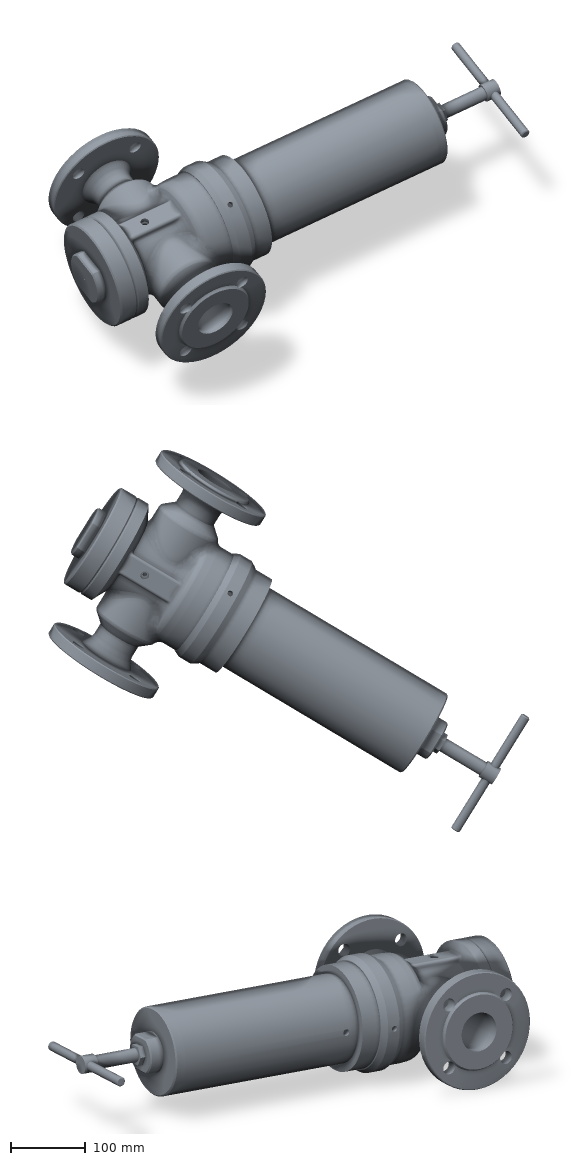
import cadquery as cq
import math


body_radius = 75.0
bowl_radius = 73.5
neck_radius = 54.0
body_top = 73.5
machined_bottom = 51.0
bowl_corner = 35.5
bowl_slope = 30
bowl_round = 9.0
bowl_blend = 19.5
base_top = -59.0
base_cone_top = -48.0
joint_y = -76.0
joint_chamfer = 2.0

face_x = 150.0
raised_height = 4.0
raised_radius = 55.0
raised_chamfer = 2.5
flange_diameter = 165.0
flange_radius = flange_diameter / 2
flange_thickness = 16.0
flange_chamfer = 1.0
bolt_circle_radius = 62.5
bolt_hole = 18.0
bolt_count = 4
bolt_start_angle = 45
bore = 54.0
pipe_radius = 30.0
pipe_root_radius = 38.0
flare_radius = 35.0
flare_start_x = 125.5
flare_end_x = 112.0
pipe_start_x = 97.0
barrel_radius = 46.0
barrel_end_x = 83.0
barrel_round = 6.5
barrel_blend = 11.5
flat_limit = 0.3

pad_width = 32.0
pad_height = 61.0
pad_top = 39.0
pad_bottom = -61.5
pad_round = 4.0
pad_blend = 4.0
port_y = -19.5
port_hole = 6.0
port_counterbore = 11.5
port_counterbore_depth = 6.5

cover_bottom = -102.0
boss_radius = 36.0
boss_flats = 61.0
boss_height = 12.0
boss_chamfer = 2.0
center_mark = 2.5

ring_radius = 80.0
ring_top = 108.5
ring_top_radius = 75.0
ring_rim_bottom = 82.0
ring_rim_top = 100.0
ring_bottom_radius = 76.0
screw_hole = 8.0
screw_hole_depth = 6.5
screw_hole_count = 3
screw_y = 90.5

collar_radius = 73.0
collar_top = 135.5
tube_radius = 61.5
lip_height = 3.0
tube_top = 405.0
cap_top = 419.0
cap_chamfer = 2.0
vent_hole = 9.0
vent_depth = 6.5
vent_y = 154.5

overall_length = 646
gland_radius = 28.5
gland_flats = 49.0
gland_top = 439.0
gland_foot = 2.0
gland_chamfer = 2.0
locknut_width = 26.0
locknut_height = 8.0
spindle_radius = 10.0
head_radius = 12.0
head_length = 20.0
spindle_top = cover_bottom - boss_height + overall_length
bar_y = 522.5
bar_diameter = 13.0
bar_length = 182.0
bar_chamfer = 1.0


def disc(radius, bottom, top):
    """Solid cylinder on the spindle axis between two heights."""
    return cq.Workplane("XZ", origin=(0, bottom, 0)).circle(radius).extrude(bottom - top)


def turned(points):
    """Solid of revolution about the spindle axis from (radius, height) points."""
    return cq.Workplane("XY").polyline(points).close().revolve(360, (0, 0, 0), (0, 1, 0))


def cross_rod(plane, diameter, length, y):
    """Rod of the given length centred on the spindle axis, along the normal of the plane."""
    return cq.Workplane(plane, origin=(0, y, 0)).circle(diameter / 2).extrude(length / 2, both=True)


def flatted_boss(radius, flats, bottom, top):
    """Round boss with two flats facing +Z and -Z."""
    middle = (bottom + top) / 2
    slab = cq.Workplane("XY").box(2 * radius, top - bottom, flats).translate((0, middle, 0))
    return disc(radius, bottom, top).intersect(slab)


def circle_at(height):
    """Selector for the circular edges centred on the spindle axis at one height."""
    reach = 0.05
    return cq.selectors.BoxSelector((-reach, height - reach, -reach), (reach, height + reach, reach))


def radial_hole(diameter, depth, radius, y, angle):
    """Blind hole bored toward the spindle axis; the angle runs from +X about +Y."""
    drill = cq.Workplane("YZ", origin=(radius - depth, y, 0)).circle(diameter / 2).extrude(2 * depth)
    return drill.rotate((0, 0, 0), (0, 1, 0), angle)



def make_trunk():
    """Turned core: joint flange, neck and bowl."""
    bowl_drop = (bowl_radius - neck_radius) * math.tan(math.radians(bowl_slope))
    neck_top = bowl_corner - bowl_drop
    trunk = turned([
        (0, joint_y),
        (body_radius - joint_chamfer, joint_y),
        (body_radius, joint_y + joint_chamfer),
        (body_radius, base_top),
        (neck_radius, base_cone_top),
        (neck_radius, neck_top),
        (bowl_radius, bowl_corner),
        (body_radius, machined_bottom),
        (body_radius, body_top),
        (0, body_top),
    ])
    trunk = trunk.edges(circle_at(bowl_corner)).fillet(bowl_round)
    return trunk.edges(circle_at(neck_top)).fillet(bowl_blend)


def make_branch():
    """Barrel, pipe and flange on the +X side."""
    flange_front = face_x - raised_height
    flange_back = flange_front - flange_thickness
    flange_rim = flange_radius - flange_chamfer
    branch = (
        cq.Workplane("XY")
        .lineTo(0, barrel_radius)
        .lineTo(barrel_end_x, barrel_radius)
        .lineTo(pipe_start_x, pipe_radius)
        .lineTo(flare_end_x, pipe_radius)
        .tangentArcPoint((flare_start_x, flare_radius), relative=False)
        .lineTo(flange_back, pipe_root_radius)
        .lineTo(flange_back, flange_rim)
        .lineTo(flange_back + flange_chamfer, flange_radius)
        .lineTo(flange_front - flange_chamfer, flange_radius)
        .lineTo(flange_front, flange_rim)
        .lineTo(flange_front, raised_radius)
        .lineTo(face_x, raised_radius - raised_chamfer)
        .lineTo(face_x, 0)
        .close()
        .revolve(360, (0, 0, 0), (1, 0, 0))
    )
    reach = 0.5
    barrel_end = cq.selectors.BoxSelector(
        (barrel_end_x - reach, -reach, -reach), (barrel_end_x + reach, reach, reach)
    )
    branch = branch.edges(barrel_end).fillet(barrel_round)
    bolt_holes = (
        cq.Workplane("YZ", origin=(flange_back, 0, 0))
        .polarArray(bolt_circle_radius, bolt_start_angle, 360, bolt_count)
        .circle(bolt_hole / 2)
        .extrude(face_x - flange_back)
    )
    return branch.cut(bolt_holes)


def make_pad():
    """Port pad on the +Z side of the trunk."""
    pad = cq.Workplane("XY", origin=(0, pad_bottom, 0)).box(
        pad_width, pad_top - pad_bottom, pad_height, centered=(True, False, False)
    )
    return pad.edges("|Y and >Z").fillet(pad_round)


def make_port():
    """Counterbored hole through both pads."""
    port = cross_rod("XY", port_hole, 2 * pad_height, port_y)
    wide = cross_rod("XY", port_counterbore, 2 * pad_height, port_y)
    between = cross_rod("XY", port_counterbore, 2 * (pad_height - port_counterbore_depth), port_y)
    return port.union(wide.cut(between))


def blend_barrels(body):
    """Round the inside corners where the barrels leave the trunk, the only edges there that lie in no plane."""
    seams = []
    for edge in body.edges().vals():
        box = edge.BoundingBox()
        is_inboard = max(abs(box.xmin), abs(box.xmax)) < barrel_end_x - barrel_round / 2
        if is_inboard and min(box.xlen, box.ylen, box.zlen) > flat_limit:
            seams.append(edge)
    return body.newObject(seams).fillet(barrel_blend)


def blend_pads(body):
    """Round the inside corners around the foot of both pads, leaving the pads' own long edges alone."""
    half = pad_width / 2 + flat_limit
    around_pads = cq.selectors.BoxSelector((-half, base_top, -body_radius), (half, pad_top, body_radius))
    foot = []
    for edge in body.edges(around_pads).vals():
        box = edge.BoundingBox()
        lowest = min(abs(box.zmin), abs(box.zmax))
        is_own_edge = box.zlen < flat_limit and box.ylen > pad_width and lowest > neck_radius
        is_trunk_edge = box.xlen > pad_width + flat_limit
        if not is_own_edge and not is_trunk_edge:
            foot.append(edge)
    return body.newObject(foot).fillet(pad_blend)


def make_body():
    branch = make_branch()
    body = blend_barrels(make_trunk().union(branch).union(branch.mirror("YZ")))
    pad = make_pad()
    body = blend_pads(body.union(pad).union(pad.mirror("XY")))
    return body.cut(cross_rod("YZ", bore, 2 * face_x, 0)).cut(make_port())



def make_cover():
    boss_bottom = cover_bottom - boss_height
    cover = disc(body_radius, cover_bottom, joint_y).faces("<Y or >Y").chamfer(joint_chamfer)
    boss = flatted_boss(boss_radius, boss_flats, boss_bottom, cover_bottom)
    boss = boss.faces("<Y").chamfer(boss_chamfer)
    mark = disc(center_mark / 2, boss_bottom, boss_bottom + center_mark)
    return cover.union(boss).cut(mark)



def make_ring():
    ring = turned([
        (0, body_top),
        (ring_bottom_radius, body_top),
        (ring_radius, ring_rim_bottom),
        (ring_radius, ring_rim_top),
        (ring_top_radius, ring_top),
        (0, ring_top),
    ])
    for index in range(screw_hole_count):
        angle = 180 + index * 360 / screw_hole_count
        ring = ring.cut(radial_hole(screw_hole, screw_hole_depth, ring_radius, screw_y, angle))
    return ring



def make_collar():
    """Collar with a low lip that carries the tube."""
    lip = disc(tube_radius, collar_top, collar_top + lip_height)
    return disc(collar_radius, ring_top, collar_top).union(lip)


def make_tube():
    tube = disc(tube_radius, collar_top + lip_height, tube_top)
    return tube.cut(radial_hole(vent_hole, vent_depth, tube_radius, vent_y, 180))


def make_cap():
    return disc(tube_radius, tube_top, cap_top).faces(">Y").chamfer(cap_chamfer)



def make_gland():
    """Gland nut with a round foot, bored for the spindle."""
    foot_top = cap_top + gland_foot
    nut = flatted_boss(gland_radius, gland_flats, foot_top, gland_top)
    nut = nut.faces(">Y").chamfer(gland_chamfer)
    foot = disc(gland_radius, cap_top, foot_top)
    return foot.union(nut).cut(disc(spindle_radius, cap_top, gland_top))


def make_locknut():
    corner_diameter = locknut_width / math.cos(math.pi / 6)
    locknut_top = gland_top + locknut_height
    nut = cq.Workplane("XZ", origin=(0, gland_top, 0)).polygon(6, corner_diameter).extrude(-locknut_height)
    return nut.cut(disc(spindle_radius, gland_top, locknut_top))


def make_spindle():
    """Spindle with a cross-drilled head for the bar."""
    head = disc(head_radius, spindle_top - head_length, spindle_top)
    spindle = disc(spindle_radius, cap_top, spindle_top).union(head)
    return spindle.cut(cross_rod("YZ", bar_diameter, 2 * head_radius, bar_y))


def make_bar():
    return cross_rod("YZ", bar_diameter, bar_length, bar_y).faces("<X or >X").chamfer(bar_chamfer)


body = make_body()
cover = make_cover()
ring = make_ring()
collar = make_collar()
tube = make_tube()
cap = make_cap()
gland = make_gland()
locknut = make_locknut()
spindle = make_spindle()
bar = make_bar()

result = cq.Compound.makeCompound([
    body.val(),
    cover.val(),
    ring.val(),
    collar.val(),
    tube.val(),
    cap.val(),
    gland.val(),
    locknut.val(),
    spindle.val(),
    bar.val(),
])